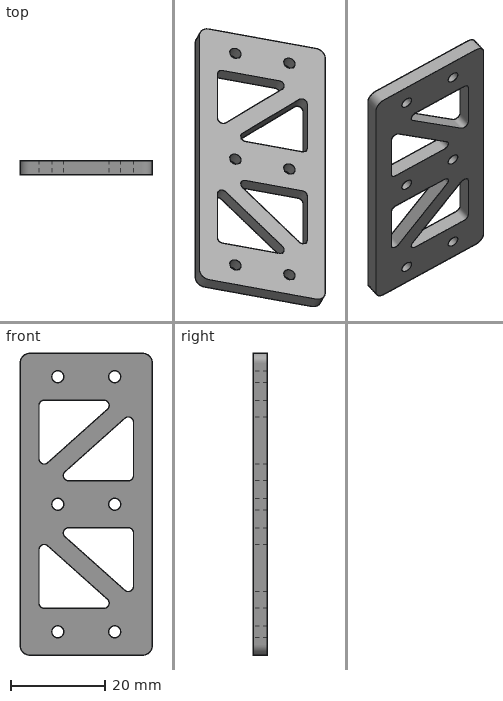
import cadquery as cq
import math

length = 64.0
width = 28.0
thickness = 3.0
corner_radius = 2.1

hole_diameter = 2.5
hole_spacing_x = 12.0
hole_spacing_z = 27.0

bay_width = 20.0
bay_height = 17.0
bay_center_z = hole_spacing_z / 2
brace_width = 3.9
brace_angle = 41.8
window_radius = 1.1


def make_plate():
    """Upright plate in the XZ plane, centred on the origin, with rounded corners."""
    plate = cq.Workplane("XY").box(width, thickness, length)
    return plate.edges("|Y").fillet(corner_radius)


def make_holes():
    """Screw holes through the plate thickness."""
    return (
        cq.Workplane("XZ")
        .rarray(hole_spacing_x, hole_spacing_z, 2, 3)
        .circle(hole_diameter / 2)
        .extrude(thickness, both=True)
    )


def make_upper_left_window():
    """Rounded triangle above the brace of the upper bay."""
    slope = math.tan(math.radians(brace_angle))
    brace_rise = brace_width / 2 / math.cos(math.radians(brace_angle))
    left = -bay_width / 2
    top = bay_height / 2
    lower_tip = (left, brace_rise + slope * left)
    right_tip = ((top - brace_rise) / slope, top)
    return (
        cq.Workplane("XZ", origin=(0, 0, bay_center_z))
        .polyline([(left, top), right_tip, lower_tip])
        .close()
        .extrude(thickness, both=True)
        .edges("|Y")
        .fillet(window_radius)
    )


def make_windows():
    """Two opposed triangles per bay, with the lower bay mirroring the upper one."""
    upper_left = make_upper_left_window()
    bay_center = (0, 0, bay_center_z)
    bay_axis_end = (0, 1, bay_center_z)
    lower_right = upper_left.rotate(bay_center, bay_axis_end, 180)
    upper_bay = upper_left.add(lower_right).combine()
    return upper_bay.union(upper_bay.mirror("XY"))


result = make_plate().cut(make_holes()).cut(make_windows())